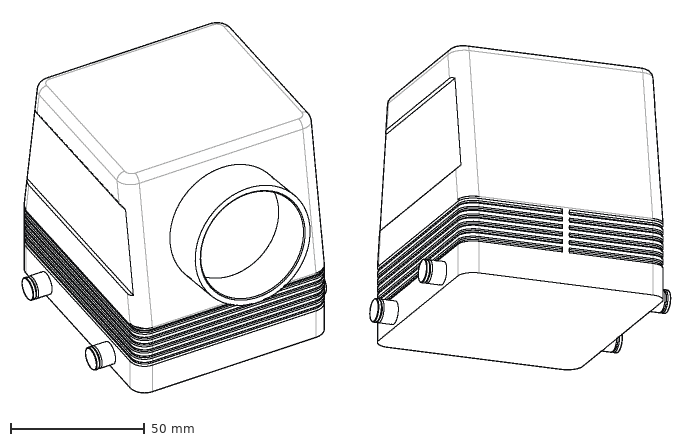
import cadquery as cq
import math

overall_length = 111.8
body_length = 93.3
body_width = 82.3
height = 94.0
corner_radius = 6.1
top_fillet = 3.2

base_height = 30.3
lean = math.radians(9.5)
slope = math.tan(lean)

groove_count = 6
groove_depth = 0.5
groove_mouth = 1.6
groove_floor = 0.7
first_groove_height = 13.6
last_groove_height = 28.4
groove_pitch = (last_groove_height - first_groove_height) / (groove_count - 1)
outer_groove_flare = 0.3
land_width = 2.9

recess_depth = 0.9
recess_bottom = 42.9
recess_top = 80.9

outlet_diameter = 49.0
outlet_face_height = 62.4
outlet_face_x = body_length - (outlet_face_height - base_height) * slope
outlet_lip_reach = outlet_diameter / 2 * math.sin(lean)
outlet_length = (overall_length - outlet_face_x - outlet_lip_reach) / math.cos(lean)
outlet_overlap = 5.6
bore_diameter = 43.8
bore_chamfer = 0.5

peg_span = 98.5
peg_spacing = 49.4
peg_height = 6.0
peg_radius = 4.5
peg_root = 2.2
peg_tip_chamfer = 0.2
head_rim_end = 1.2
head_end = 1.7
neck_end = 2.3
head_back_radius = 4.1
neck_radius = 2.7


def make_base():
    return (
        cq.Workplane("XY")
        .center(body_length / 2, 0)
        .rect(body_length, body_width)
        .extrude(base_height)
        .edges("|Z")
        .fillet(corner_radius)
    )


def make_hood():
    inset = (height - base_height) * slope
    return (
        cq.Workplane("XZ", origin=(0, body_width / 2, 0))
        .moveTo(0, base_height)
        .lineTo(body_length, base_height)
        .lineTo(body_length - inset, height)
        .lineTo(inset, height)
        .close()
        .extrude(body_width)
        .edges("not (|X or |Y)")
        .fillet(corner_radius)
        .faces(">Z")
        .edges()
        .fillet(top_fillet)
    )


def base_section(z, depth):
    """Rounded base outline at height z, drawn in by the given depth."""
    outline = cq.Sketch().rect(body_length - 2 * depth, body_width - 2 * depth)
    outline = outline.vertices().fillet(corner_radius - depth)
    return outline.moved(cq.Location(cq.Vector(body_length / 2, 0, z)))


def make_groove(z, flare_below, flare_above):
    """Ring with sloping walls, cut inwards from the base outline."""
    levels = [
        (z - groove_mouth / 2 - flare_below, 0),
        (z - groove_floor / 2, groove_depth),
        (z + groove_floor / 2, groove_depth),
        (z + groove_mouth / 2 + flare_above, 0),
    ]
    bottom = levels[0][0]
    ring = cq.Workplane("XY").placeSketch(base_section(bottom, 0)).extrude(levels[-1][0] - bottom)
    for lower, upper in zip(levels, levels[1:]):
        core = cq.Workplane("XY").placeSketch(base_section(*lower), base_section(*upper)).loft()
        ring = ring.cut(core)
    return ring


def make_grooves():
    """All grooves, broken by a full-height land in the middle of the left end wall."""
    grooves = cq.Workplane("XY")
    for index in range(groove_count):
        flare_below = outer_groove_flare if index == 0 else 0
        flare_above = outer_groove_flare if index == groove_count - 1 else 0
        z = first_groove_height + index * groove_pitch
        grooves = grooves.add(make_groove(z, flare_below, flare_above))
    land = cq.Workplane("XY").box(corner_radius, land_width, 2 * base_height)
    return grooves.combine().cut(land)


def make_recess(side):
    """Recess on the side at +Y (side = 1) or -Y (side = -1), with 45 degree walls."""
    face = side * body_width / 2
    floor = face - side * recess_depth
    return (
        cq.Workplane("YZ")
        .moveTo(face, recess_bottom)
        .lineTo(floor, recess_bottom + recess_depth)
        .lineTo(floor, recess_top - recess_depth)
        .lineTo(face, recess_top)
        .close()
        .extrude(body_length)
    )


def outlet_plane():
    """Plane on the right end wall, its normal along the outlet axis."""
    return cq.Plane(
        origin=(outlet_face_x, 0, outlet_face_height),
        xDir=(0, 1, 0),
        normal=(math.cos(lean), 0, math.sin(lean)),
    )


def make_outlet():
    return (
        cq.Workplane(outlet_plane())
        .workplane(offset=-outlet_overlap)
        .circle(outlet_diameter / 2)
        .extrude(outlet_overlap + outlet_length)
    )


def make_bore():
    """Blind bore, as deep as the outlet stands out from the wall."""
    bore_radius = bore_diameter / 2
    bore = cq.Workplane(outlet_plane()).circle(bore_radius).extrude(outlet_length)
    mouth = (
        cq.Workplane(outlet_plane())
        .workplane(offset=outlet_length - bore_chamfer)
        .circle(bore_radius)
        .workplane(offset=bore_chamfer)
        .circle(bore_radius + bore_chamfer)
        .loft()
    )
    return bore.union(mouth)


def make_peg(x, side):
    """Headed peg pointing towards +Y (side = 1) or -Y (side = -1)."""
    tip = peg_span / 2
    root = body_width / 2 - peg_root
    profile = [
        (0, root),
        (peg_radius, root),
        (peg_radius, tip - neck_end),
        (neck_radius, tip - neck_end),
        (neck_radius, tip - head_end),
        (head_back_radius, tip - head_end),
        (peg_radius, tip - head_rim_end),
        (peg_radius, tip - peg_tip_chamfer),
        (peg_radius - peg_tip_chamfer, tip),
        (0, tip),
    ]
    peg = cq.Workplane("XY").polyline(profile).close().revolve(360, (0, 0, 0), (0, 1, 0))
    if side < 0:
        peg = peg.mirror("XZ")
    return peg.translate((x, 0, peg_height))


result = make_base().union(make_hood()).cut(make_grooves())
result = result.union(make_outlet()).cut(make_bore())
for side in (-1, 1):
    result = result.cut(make_recess(side))
    for offset in (-peg_spacing / 2, peg_spacing / 2):
        result = result.union(make_peg(body_length / 2 + offset, side))